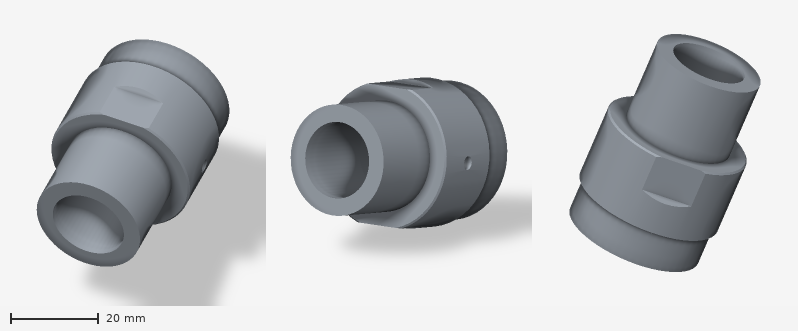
import cadquery as cq

total_length = 46.05
body_start = 8.65
body_end = 27.0

rear_diameter = 31.75
body_diameter = 34.04
neck_diameter = 25.4
bore_diameter = 17.46
counterbore_diameter = 23.37
cross_hole_diameter = 3.17

body_chamfer = 0.4
counterbore_depth = 23.7
across_flats = 31.83
flat_length = 9.1
axis_tilt = 7.72


def cylinder(diameter, start, end):
    """Cylinder along the part axis, which is local -Y with the rear face at Y = 0."""
    plane = cq.Workplane("XZ", origin=(0, -start, 0))
    return plane.circle(diameter / 2).extrude(end - start)


def make_outer_shape():
    body = cylinder(body_diameter, body_start, body_end)
    body = cut_wrench_flats(body.edges().chamfer(body_chamfer))
    rear = cylinder(rear_diameter, 0, body_start)
    neck = cylinder(neck_diameter, body_end, total_length)
    return body.union(rear).union(neck)


def cut_wrench_flats(body):
    """Two opposed flats from the neck end of the body, each ending in a 45 degree run-out."""
    flat_height = across_flats / 2
    outer_height = body_diameter / 2
    front = -body_end
    flat_end = front + flat_length
    runout_end = flat_end + outer_height - flat_height
    profile = [
        (front, flat_height),
        (flat_end, flat_height),
        (runout_end, outer_height),
        (front, outer_height),
    ]
    cutter = cq.Workplane("YZ").polyline(profile).close().extrude(body_diameter / 2, both=True)
    return body.cut(cutter).cut(cutter.mirror("XY"))


def make_bore():
    bore = cylinder(bore_diameter, 0, total_length)
    return bore.union(cylinder(counterbore_diameter, 0, counterbore_depth))


def make_cross_hole():
    """Radial hole on the +X side, at mid-length of the body, opening into the counterbore."""
    station = (body_start + body_end) / 2
    plane = cq.Workplane("YZ", origin=(0, -station, 0))
    return plane.circle(cross_hole_diameter / 2).extrude(body_diameter / 2)


part = make_outer_shape().cut(make_bore()).cut(make_cross_hole())
result = part.rotate((0, 0, 0), (1, 0, 0), -axis_tilt)